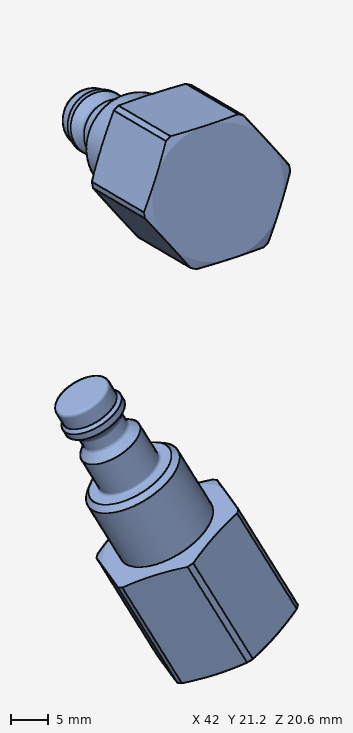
import cadquery as cq
import math

total_length = 42.0

nose_radius = 8.1 / 2
nose_rounding = 0.55
nose_length = 2.55
collar_radius = 9.0 / 2
collar_start = 3.05
collar_end = 4.07

groove_radius = 6.65 / 2
groove_front = 5.25
groove_rear = 7.15
groove_fillet = 0.5

shank_start = 8.4
shank_radius = collar_radius
shank_fillet = 0.5

body_start = 14.03
body_radius = 14.0 / 2
body_chamfer = 0.8

hex_start = 24.4
across_flats = 19.0
corner_radius = 10.7
hex_tilt = 11.3
bevel_length = 0.3


def revolve_about_x(profile):
    return profile.close().revolve(360, (0, 0, 0), (1, 0, 0))


def make_stem():
    """Nose, collar, groove, shank and body, turned about the X axis."""
    rounding_mid = nose_rounding * (1 - math.sqrt(0.5))
    fillet_mid = shank_fillet * (1 - math.sqrt(0.5))
    profile = (
        cq.Workplane("XY")
        .lineTo(0, nose_radius - nose_rounding)
        .threePointArc((rounding_mid, nose_radius - rounding_mid), (nose_rounding, nose_radius))
        .lineTo(nose_length, nose_radius)
        .lineTo(collar_start, collar_radius)
        .lineTo(collar_end, collar_radius)
        .lineTo(groove_front, groove_radius)
        .lineTo(groove_rear, groove_radius)
        .lineTo(shank_start, shank_radius)
        .lineTo(body_start - shank_fillet, shank_radius)
        .threePointArc(
            (body_start - fillet_mid, shank_radius + fillet_mid),
            (body_start, shank_radius + shank_fillet),
        )
        .lineTo(body_start, body_radius - body_chamfer)
        .lineTo(body_start + body_chamfer, body_radius)
        .lineTo(hex_start, body_radius)
        .lineTo(hex_start, 0)
    )
    stem = revolve_about_x(profile)
    groove_box = cq.selectors.BoxSelector(
        (groove_front - groove_fillet, -collar_radius, -collar_radius),
        (groove_rear + groove_fillet, collar_radius, collar_radius),
    )
    return stem.edges("%CIRCLE").edges(groove_box).fillet(groove_fillet)


def make_hexagon():
    """Tilted hexagonal prism trimmed by a bevelled turned envelope."""
    across_corners = across_flats / math.cos(math.pi / 6)
    prism = (
        cq.Workplane("YZ", origin=(hex_start, 0, 0))
        .polygon(6, across_corners)
        .extrude(total_length - hex_start)
        .rotate((0, 0, 0), (1, 0, 0), hex_tilt)
    )
    face_radius = across_flats / 2
    envelope = revolve_about_x(
        cq.Workplane("XY")
        .moveTo(hex_start, 0)
        .lineTo(hex_start, face_radius)
        .lineTo(hex_start + bevel_length, corner_radius)
        .lineTo(total_length - bevel_length, corner_radius)
        .lineTo(total_length, face_radius)
        .lineTo(total_length, 0)
    )
    return prism.intersect(envelope)


result = make_stem().union(make_hexagon())